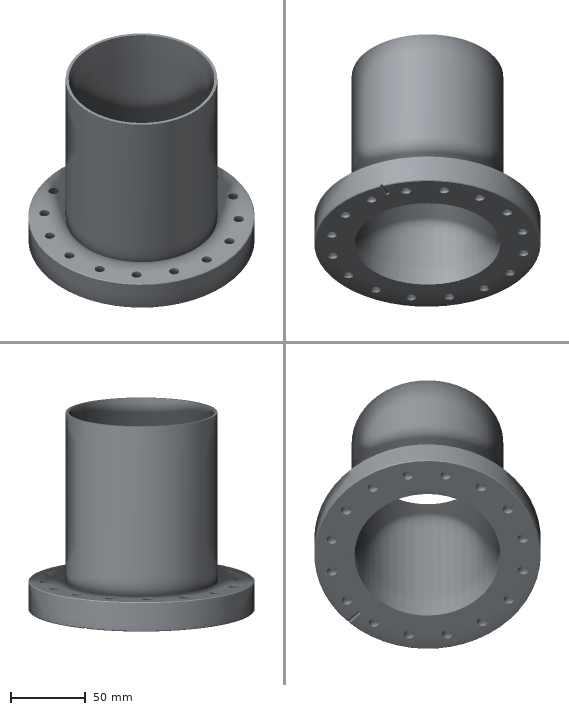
import cadquery as cq

flange_diameter = 151.6
flange_thickness = 20.0
rim_chamfer = 0.5
flange_turn = -0.4

bolt_count = 16
bolt_circle_diameter = 130.3
bolt_hole_diameter = 6.8
bolt_pitch_angle = 360.0 / bolt_count

groove_radius = 1.25
groove_angle = 270.0 - bolt_pitch_angle / 2
groove_inner_radius = bolt_circle_diameter / 2
groove_overrun = 1.0

tube_diameter = 101.6
tube_wall = 2.0
total_height = 134.9

gap_width = 0.5
gap_depth = 1.0


def make_bolt_holes():
    return (
        cq.Workplane("XY")
        .polarArray(bolt_circle_diameter / 2, 0, 360, bolt_count)
        .circle(bolt_hole_diameter / 2)
        .extrude(flange_thickness)
    )


def make_weld_gap():
    return (
        cq.Workplane("XY", origin=(0, 0, flange_thickness - gap_depth))
        .circle(tube_diameter / 2 + gap_width)
        .extrude(gap_depth)
    )


def make_leak_groove():
    return (
        cq.Workplane("YZ", origin=(groove_inner_radius, 0, 0))
        .moveTo(-groove_radius, -groove_overrun)
        .lineTo(-groove_radius, 0)
        .threePointArc((0, groove_radius), (groove_radius, 0))
        .lineTo(groove_radius, -groove_overrun)
        .close()
        .extrude(flange_diameter / 2 + groove_overrun - groove_inner_radius)
        .rotate((0, 0, 0), (0, 0, 1), groove_angle)
    )


def make_flange():
    blank = cq.Workplane("XY").circle(flange_diameter / 2).extrude(flange_thickness)
    blank = blank.faces("<Z or >Z").chamfer(rim_chamfer)
    bore = cq.Workplane("XY").circle(tube_diameter / 2).extrude(flange_thickness)
    flange = blank.cut(bore).cut(make_weld_gap()).cut(make_bolt_holes()).cut(make_leak_groove())
    return flange.rotate((0, 0, 0), (0, 0, 1), flange_turn)


def make_tube():
    return (
        cq.Workplane("XY")
        .circle(tube_diameter / 2)
        .circle(tube_diameter / 2 - tube_wall)
        .extrude(total_height)
    )


flange = make_flange()
tube = make_tube()
result = cq.Compound.makeCompound([flange.val(), tube.val()])